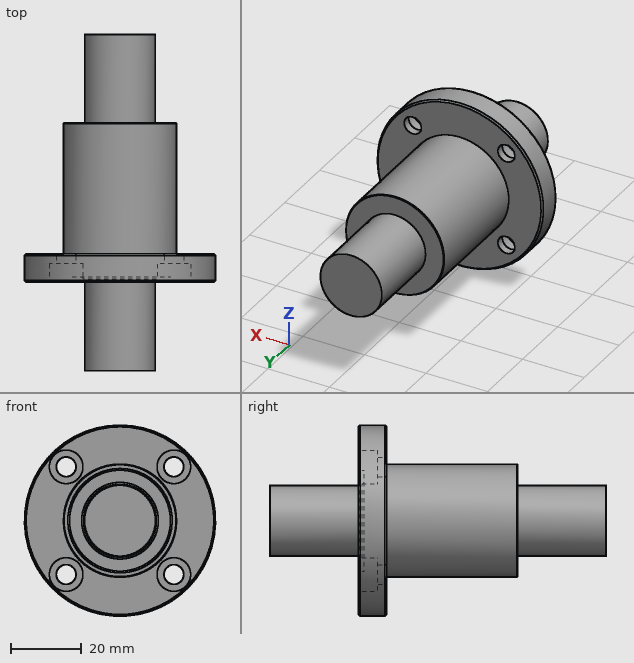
import cadquery as cq
import math


shaft_diameter = 20.0
shaft_length = 95.0
bearing_diameter = 32.0
bearing_length = 45.0
flange_diameter = 54.0
flange_thickness = 8.0
flange_chamfer = 0.5
bearing_chamfer = 0.2

recess_diameter = 28.5
recess_chamfer = 0.5
recess_depth = 1.5
lip_base_diameter = 21.7
lip_tip_diameter = 20.6
lip_height = 0.5

hole_count = 4
hole_circle_diameter = 43.0
hole_diameter = 5.5
counterbore_diameter = 9.5
counterbore_depth = 5.4

front_y = -bearing_length / 2
recess_floor_y = front_y + recess_depth


def cylinder(diameter, start_y, length, x=0.0, z=0.0):
    """Cylinder along Y that grows in +Y from start_y."""
    direction = cq.Vector(0, 1, 0)
    return cq.Workplane(cq.Solid.makeCylinder(diameter / 2, length, cq.Vector(x, start_y, z), direction))


def cone(start_diameter, end_diameter, start_y, length):
    """Frustum about the Y axis that grows in +Y from start_y."""
    direction = cq.Vector(0, 1, 0)
    origin = cq.Vector(0, start_y, 0)
    return cq.Workplane(cq.Solid.makeCone(start_diameter / 2, end_diameter / 2, length, origin, direction))


def make_flange():
    """Flange disc with both rims chamfered, bored to receive the bearing."""
    disc = cylinder(flange_diameter, front_y, flange_thickness).edges().chamfer(flange_chamfer)
    return disc.cut(cylinder(bearing_diameter, front_y, flange_thickness))


def make_bearing():
    """Bearing sleeve with chamfered ends and a recessed front face."""
    sleeve = cylinder(bearing_diameter, front_y, bearing_length).edges().chamfer(bearing_chamfer)
    recess = cylinder(recess_diameter, front_y, recess_depth)
    recess_mouth = cone(recess_diameter + 2 * recess_chamfer, recess_diameter, front_y, recess_chamfer)
    return sleeve.cut(recess).cut(recess_mouth)


def make_seal_lip():
    """Tapered lip that rises from the recess floor around the shaft."""
    return cone(lip_tip_diameter, lip_base_diameter, recess_floor_y - lip_height, lip_height)


def cut_mounting_holes(body):
    """Through holes on a circle, counterbored from the front face of the flange."""
    for index in range(hole_count):
        angle = 2 * math.pi * (index + 0.5) / hole_count
        x = hole_circle_diameter / 2 * math.cos(angle)
        z = hole_circle_diameter / 2 * math.sin(angle)
        body = body.cut(cylinder(hole_diameter, front_y, flange_thickness, x, z))
        body = body.cut(cylinder(counterbore_diameter, front_y, counterbore_depth, x, z))
    return body


shaft = cylinder(shaft_diameter, -shaft_length / 2, shaft_length)
body = make_bearing().union(make_flange()).union(make_seal_lip()).union(shaft)
result = cut_mounting_holes(body)